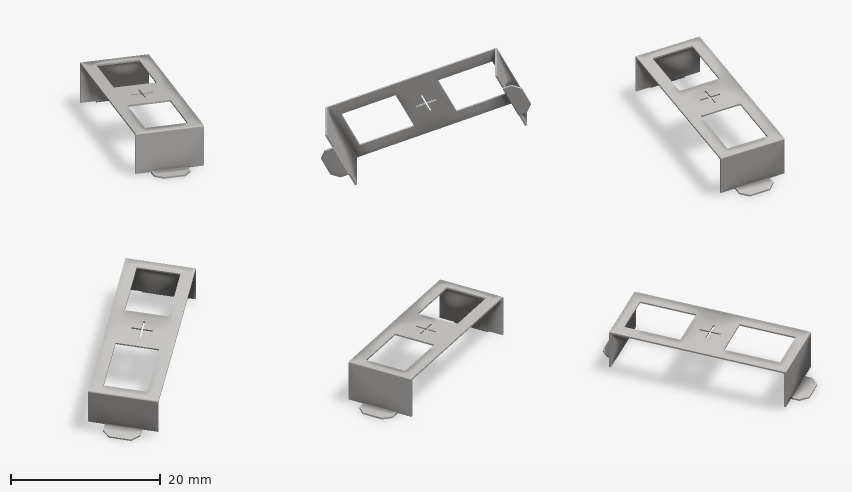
import cadquery as cq

total_length = 29.45
body_length = 25.22
body_width = 9.57
height = 6.1
sheet = 0.25
bend_radius = 0.2

tab_width = 5.07
tab_chamfer = 1.03

window_length = 8.0
window_width = 5.98
window_margin = 1.5
cross_span = 3.0
cross_slot = 0.25

half_body = body_length / 2


def make_channel():
    """Top plate with two side walls that stop level with the upper face of the tabs."""
    outer = (
        cq.Workplane("XY")
        .box(body_length, body_width, height - sheet, centered=(True, True, False))
        .translate((0, 0, sheet))
        .edges("|Y and >Z")
        .fillet(bend_radius)
    )
    inner = (
        cq.Workplane("XY")
        .box(body_length - 2 * sheet, body_width, height - sheet, centered=(True, True, False))
        .edges("|Y and >Z")
        .fillet(bend_radius)
    )
    return outer.cut(inner)


def make_right_tab():
    """Foot turned outward from the right wall, rounded on both sides of its bend."""
    inner_face = half_body - sheet
    foot = (
        cq.Workplane("XZ")
        .moveTo(total_length / 2, 0)
        .lineTo(inner_face + bend_radius, 0)
        .radiusArc((inner_face, bend_radius), bend_radius)
        .lineTo(inner_face, sheet + bend_radius)
        .lineTo(half_body, sheet + bend_radius)
        .radiusArc((half_body + bend_radius, sheet), -bend_radius)
        .lineTo(total_length / 2, sheet)
        .close()
        .extrude(tab_width / 2, both=True)
    )
    return foot.edges("|Z and >X").chamfer(tab_chamfer)


def make_openings():
    """Two rectangular windows and a central cross, cut through the top plate."""
    window_center = half_body - window_margin - window_length / 2
    plate_underside = cq.Workplane("XY").workplane(offset=height - sheet)
    windows = (
        plate_underside
        .pushPoints([(-window_center, 0), (window_center, 0)])
        .rect(window_length, window_width)
        .extrude(sheet)
    )
    slot_along_x = plate_underside.rect(cross_span, cross_slot).extrude(sheet)
    slot_along_y = plate_underside.rect(cross_slot, cross_span).extrude(sheet)
    return windows.union(slot_along_x).union(slot_along_y)


right_tab = make_right_tab()
left_tab = right_tab.mirror("YZ")
result = make_channel().union(right_tab).union(left_tab).cut(make_openings())